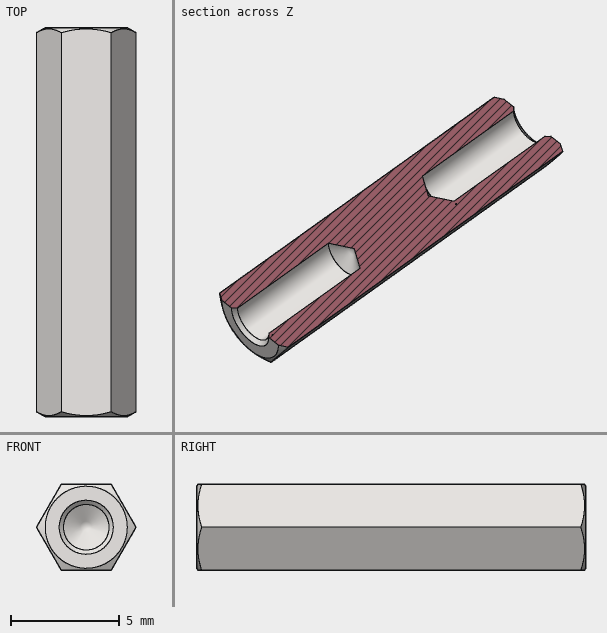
import cadquery as cq
import math

length = 18.0
across_flats = 4.0
across_corners = across_flats / math.cos(math.radians(30))

end_face_diameter = 3.8
corner_chamfer_angle = 30.0

hole_diameter = 2.1
hole_depth = 6.0
drill_point_angle = 118.0
countersink_diameter = 2.5
countersink_angle = 90.0


def revolve_about_y(profile):
    """Revolve a closed (radius, y) profile around the Y axis."""
    outline = cq.Workplane("XY").polyline(profile).close()
    return outline.revolve(360, (0, 0, 0), (0, 1, 0))


def hex_bar():
    """Hexagonal bar centred on the origin, with corners pointing along X."""
    bar = cq.Workplane("XZ").polygon(6, across_corners)
    return bar.extrude(length / 2, both=True)


def corner_envelope():
    """Round bar with coned ends that the hexagon is trimmed to."""
    half = length / 2
    face_radius = end_face_diameter / 2
    outer_radius = across_corners / 2 + 0.18
    cone_length = (outer_radius - face_radius) * math.tan(math.radians(corner_chamfer_angle))
    return revolve_about_y([
        (0, -half),
        (face_radius, -half),
        (outer_radius, cone_length - half),
        (outer_radius, half - cone_length),
        (face_radius, half),
        (0, half),
    ])


def front_hole():
    """Countersunk blind hole with a drill point, entering from the -Y face."""
    face = -length / 2
    radius = hole_diameter / 2
    mouth_radius = countersink_diameter / 2
    mouth_depth = (mouth_radius - radius) / math.tan(math.radians(countersink_angle / 2))
    point_depth = radius / math.tan(math.radians(drill_point_angle / 2))
    return revolve_about_y([
        (0, face),
        (mouth_radius, face),
        (radius, face + mouth_depth),
        (radius, face + hole_depth),
        (0, face + hole_depth + point_depth),
    ])


hole = front_hole()
result = hex_bar().intersect(corner_envelope())
result = result.cut(hole).cut(hole.mirror("XZ"))